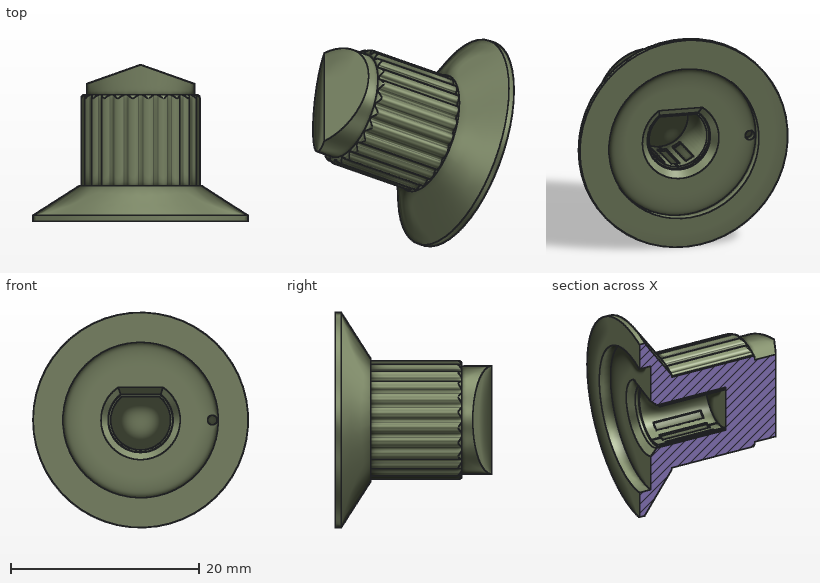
import cadquery as cq
import math


skirt_radius = 11.43
rim_thickness = 0.65
cone_top_radius = 6.5
cone_top_y = 3.8

lobe_count = 24
lobe_crest_radius = 6.35
lobe_edge_radius = 6.1
valley_bottom_radius = 5.97
valley_width = 0.48
grip_end_y = 13.46
grip_end_fillet = 0.45

tip_radius = 5.74
tip_eave_y = 14.6
tip_ridge_y = 16.65

recess_radius = 8.25
recess_depth = 1.3
marker_radius = 0.5
marker_offset = 7.61
marker_depth = 1.0

bore_radius = 3.45
bore_flat_z = 2.72
bore_end_y = 10.05
lead_in_width = 0.75
lead_in_depth = 0.7

clip_front_y = 2.38
clip_thickness = 0.23
clip_clearance = 0.05
slit_width = 0.14
window_angles = (-120, -90, -60)
window_width = 0.95
window_margin = 1.07


def plane_at(y):
    """Sketch plane facing -Y, with local axes along X and Z; negative extrusions go towards +Y."""
    return cq.Workplane("XZ", origin=(0, y, 0))


def cylinder(radius, y_start, y_end):
    return plane_at(y_start).circle(radius).extrude(y_start - y_end)


def polar(radius, angle):
    return radius * math.cos(angle), radius * math.sin(angle)


def d_outline(radius, flat_z, y):
    """Circle cut off by a flat on its +Z side."""
    flat_half_width = math.sqrt(radius**2 - flat_z**2)
    return (
        plane_at(y)
        .moveTo(flat_half_width, flat_z)
        .lineTo(-flat_half_width, flat_z)
        .threePointArc((0, -radius), (flat_half_width, flat_z))
        .close()
    )


def d_prism(radius, flat_z, y_start, y_end):
    return d_outline(radius, flat_z, y_start).extrude(y_start - y_end)


def skirt():
    return (
        cq.Workplane("XY")
        .polyline([
            (0, 0),
            (-skirt_radius, 0),
            (-skirt_radius, rim_thickness),
            (-cone_top_radius, cone_top_y),
            (0, cone_top_y),
        ])
        .close()
        .revolve(360, (0, 0), (0, 1))
    )


def grip():
    """Rounded lobes joined by rounded valleys, trimmed by a cylinder with a filleted end."""
    pitch = 2 * math.pi / lobe_count
    valley_half_angle = math.asin(valley_width / 2 / lobe_edge_radius)
    outline = plane_at(cone_top_y).moveTo(*polar(lobe_edge_radius, valley_half_angle))
    for lobe in range(lobe_count):
        valley = lobe * pitch
        next_valley = valley + pitch
        outline = outline.threePointArc(
            polar(lobe_crest_radius, valley + pitch / 2),
            polar(lobe_edge_radius, next_valley - valley_half_angle),
        ).threePointArc(
            polar(valley_bottom_radius, next_valley),
            polar(lobe_edge_radius, next_valley + valley_half_angle),
        )
    lobes = outline.close().extrude(cone_top_y - grip_end_y)
    envelope = cylinder(lobe_crest_radius, 0, grip_end_y).faces(">Y").edges().fillet(grip_end_fillet)
    return lobes.intersect(envelope)


def tip():
    """Round post cut to a roof whose ridge runs along Z."""
    roof = (
        cq.Workplane("XY")
        .polyline([
            (-tip_radius, cone_top_y),
            (tip_radius, cone_top_y),
            (tip_radius, tip_eave_y),
            (0, tip_ridge_y),
            (-tip_radius, tip_eave_y),
        ])
        .close()
        .extrude(tip_radius, both=True)
    )
    return cylinder(tip_radius, cone_top_y, tip_ridge_y).intersect(roof)


def shaft_bore():
    lead_in_angle = math.degrees(math.atan2(lead_in_width, lead_in_depth))
    lead_in = d_outline(
        bore_radius + lead_in_width, bore_flat_z + lead_in_width, recess_depth
    ).extrude(-lead_in_depth, taper=lead_in_angle)
    return d_prism(bore_radius, bore_flat_z, recess_depth, bore_end_y).union(lead_in)


def make_knob():
    recess = cylinder(recess_radius, 0, recess_depth)
    marker_hole = plane_at(recess_depth).center(marker_offset, 0).circle(marker_radius).extrude(-marker_depth)
    return skirt().union(grip()).union(tip()).cut(recess).cut(marker_hole).cut(shaft_bore())


def make_clip():
    """Rolled D-shaped sleeve, split along its bottom, with a row of long windows."""
    outer_radius = bore_radius - clip_clearance
    outer_flat_z = bore_flat_z - clip_clearance
    clip = d_prism(outer_radius, outer_flat_z, clip_front_y, bore_end_y).cut(
        d_prism(outer_radius - clip_thickness, outer_flat_z - clip_thickness, clip_front_y, bore_end_y)
    )
    clip_length = bore_end_y - clip_front_y
    middle_y = clip_front_y + clip_length / 2
    slit = cq.Workplane("XY").box(slit_width, clip_length, bore_radius).translate((0, middle_y, -bore_radius))
    clip = clip.cut(slit)

    window = (
        cq.Workplane("XY")
        .box(bore_radius, clip_length - 2 * window_margin, window_width)
        .translate((bore_radius, middle_y, 0))
    )
    for angle in window_angles:
        clip = clip.cut(window.rotate((0, 0, 0), (0, 1, 0), -angle))
    return clip


knob = make_knob()
clip = make_clip()

result = cq.Compound.makeCompound([knob.solids().val(), clip.solids().val()])